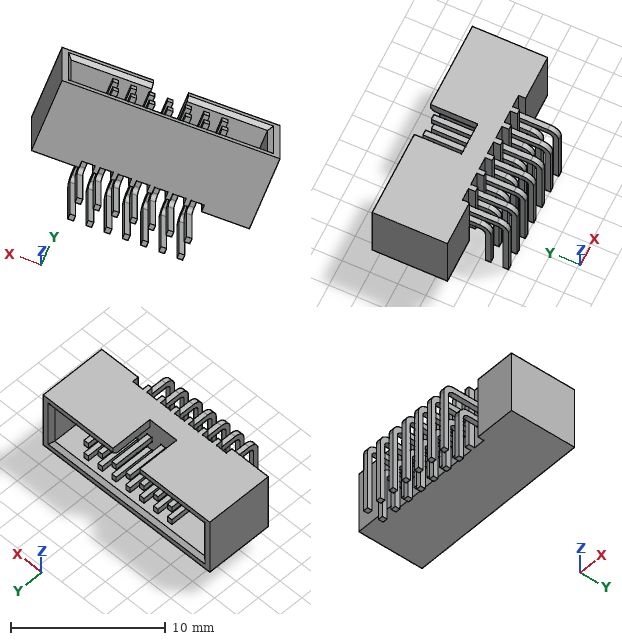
import cadquery as cq

body_length = 15.19
body_depth = 5.4
body_height = 5.09
wall = 0.76
cavity_depth = 3.39
mouth_chamfer = 0.3
key_slot_width = 2.45
cavity_floor = body_depth - cavity_depth

columns = 7
row_span = 7.61
pitch = row_span / (columns - 1)
column_positions = [(i - (columns - 1) / 2) * pitch for i in range(columns)]

groove_width = 0.91
groove_depth = 0.5

pin_width = 0.4
pin_height = 0.49
inner_bend_radius = 0.4
outer_bend_radius = 0.8
tip_recess = 0.14
leg_reach = 2.67
leg_drop = 2.31

pin_hole_size = pin_height

row_heights = [body_height / 2 - pitch / 2, body_height / 2 + pitch / 2]
leg_reaches = [leg_reach - pitch, leg_reach]


def box(size_x, y_min, y_max, z_min, z_max, center_x=0.0):
    """Axis-aligned block centred on center_x."""
    corner = (center_x - size_x / 2, y_min, z_min)
    return cq.Workplane("XY").box(size_x, y_max - y_min, z_max - z_min, centered=False).translate(corner)


def make_housing():
    housing = box(body_length, 0, body_depth, 0, body_height)
    cavity = box(body_length - 2 * wall, cavity_floor, body_depth, wall, body_height - wall)
    housing = housing.cut(cavity)
    mouth_edges = cq.selectors.BoxSelector(
        (-body_length / 2 + wall / 2, body_depth - wall / 2, wall / 2),
        (body_length / 2 - wall / 2, body_depth + wall / 2, body_height - wall / 2),
    )
    housing = housing.faces(">Y").edges(mouth_edges).chamfer(mouth_chamfer)

    key_slot = box(key_slot_width, cavity_floor, body_depth, body_height / 2, body_height)
    housing = housing.cut(key_slot)

    for x in column_positions:
        housing = housing.cut(box(groove_width, 0, groove_depth, 0, body_height, x))
        for z in row_heights:
            hole_bottom = z - pin_hole_size / 2
            pin_hole = box(pin_hole_size, groove_depth, cavity_floor, hole_bottom, hole_bottom + pin_hole_size, x)
            housing = housing.cut(pin_hole)
    return housing


def make_pin(x, z, reach):
    """Pin lying along Y at height z, bent down into a leg whose outer face is at Y = -reach."""
    top = z + pin_height / 2
    bottom = z - pin_height / 2
    tip = body_depth - tip_recess
    outer_face = -reach
    inner_face = outer_face + pin_width
    profile = (
        cq.Workplane("YZ", origin=(x - pin_width / 2, 0, 0))
        .moveTo(tip, top)
        .lineTo(outer_face + outer_bend_radius, top)
        .radiusArc((outer_face, top - outer_bend_radius), -outer_bend_radius)
        .lineTo(outer_face, -leg_drop)
        .lineTo(inner_face, -leg_drop)
        .lineTo(inner_face, bottom - inner_bend_radius)
        .radiusArc((inner_face + inner_bend_radius, bottom), inner_bend_radius)
        .lineTo(tip, bottom)
        .close()
    )
    return profile.extrude(pin_width)


result = make_housing()
for x in column_positions:
    for z, reach in zip(row_heights, leg_reaches):
        result = result.union(make_pin(x, z, reach))